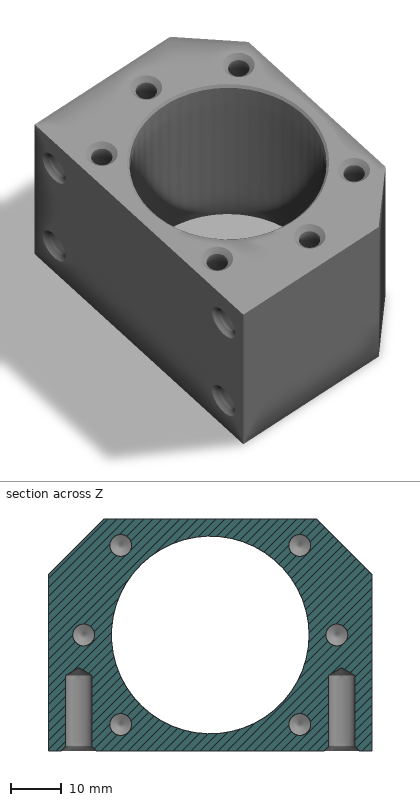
import cadquery as cq
import math

width = 64.0
depth = 46.0
height = 40.0
corner_cut = 11.0

bore_diameter = 39.0
bore_chamfer = 0.5

flange_pitch_radius = 25.0
flange_hole_angles = (0, 45, 135, 180, 225, 315)
flange_hole_diameter = 4.2
flange_mouth_diameter = 6.3
flange_hole_depth = 12.0

mount_spacing_x = 52.0
mount_spacing_z = 24.0
mount_hole_diameter = 5.1
mount_mouth_diameter = 7.1
mount_hole_depth = 15.0

drill_point_angle = 118
countersink_angle = 90


def cone_height(diameter, included_angle):
    """Axial length over which a cone of the given angle opens to the diameter."""
    return diameter / 2 / math.tan(math.radians(included_angle / 2))


def drilled_hole(hole_diameter, mouth_diameter, hole_depth):
    """Cutter for a countersunk blind hole: mouth at Z = 0, drill point downwards."""
    hole_radius = hole_diameter / 2
    mouth_radius = mouth_diameter / 2
    sink_depth = cone_height(mouth_diameter - hole_diameter, countersink_angle)
    tip_depth = hole_depth + cone_height(hole_diameter, drill_point_angle)
    return (
        cq.Workplane("XZ")
        .moveTo(0, 0)
        .lineTo(mouth_radius, 0)
        .lineTo(hole_radius, -sink_depth)
        .lineTo(hole_radius, -hole_depth)
        .lineTo(0, -tip_depth)
        .close()
        .revolve(360, (0, 0), (0, 1))
    )


block = (
    cq.Workplane("XY")
    .box(width, depth, height, centered=(True, True, False))
    .edges("|Z and >Y")
    .chamfer(corner_cut)
)

bore = cq.Workplane("XY").circle(bore_diameter / 2).extrude(height)
result = block.cut(bore).edges("%CIRCLE").chamfer(bore_chamfer)

flange_cutter = drilled_hole(flange_hole_diameter, flange_mouth_diameter, flange_hole_depth)
flange_cutter = flange_cutter.translate((flange_pitch_radius, 0, height))
for angle in flange_hole_angles:
    result = result.cut(flange_cutter.rotate((0, 0, 0), (0, 0, 1), angle))

mount_cutter = drilled_hole(mount_hole_diameter, mount_mouth_diameter, mount_hole_depth)
mount_cutter = mount_cutter.rotate((0, 0, 0), (1, 0, 0), 90)
for side in (-1, 1):
    for level in (-1, 1):
        hole_x = side * mount_spacing_x / 2
        hole_z = height / 2 + level * mount_spacing_z / 2
        result = result.cut(mount_cutter.translate((hole_x, -depth / 2, hole_z)))